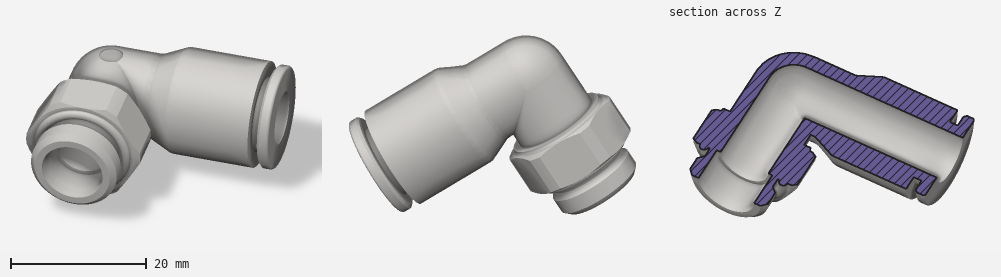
import cadquery as cq
import math


elbow_radius = 6.25
bore_radius = 4.0

sleeve_radius = 8.0
cone_start = 7.0
cone_end = 10.75
cone_blend_radius = 1.47
sleeve_end = 23.2
tube_arm_end = 26.2
collar_neck_radius = 5.63
collar_radius = 7.8
collar_width = 1.75
collar_edge = 0.4

shoulder_start = 8.2
shoulder_radius = 7.37
shoulder_fillet = 0.45
nut_start = 8.8
nut_end = 15.5
nut_corner_radius = 8.75
nut_across_flats = 2 * sleeve_radius
nut_turn = 30.0
nut_chamfer_length = 0.45
nut_chamfer_angle = 30.0
seal_outer_radius = shoulder_radius
seal_thickness = 1.4
seal_end = 16.18
thread_neck_radius = 5.73
thread_neck_end = 16.95
thread_radius = 6.57
thread_end = 20.9
thread_chamfer = thread_radius - thread_neck_radius
thread_bore_radius = 4.65
thread_bore_depth = 5.63

recess_radius = 1.78
recess_depth = 0.45


def turned_about_x(outline):
    """Solid of revolution from (x, radius) points; the axis closes the outline."""
    first_x = outline[0][0]
    last_x = outline[-1][0]
    points = [(first_x, 0)] + outline + [(last_x, 0)]
    return cq.Workplane("XY").polyline(points).close().revolve(360, (0, 0), (1, 0))


def turned_about_y(outline):
    """Solid of revolution along -Y from (distance from the elbow centre, radius) points."""
    return turned_about_x(outline).rotate((0, 0, 0), (0, 0, 1), -90)


def make_tube_arm():
    sleeve = turned_about_x([
        (0, elbow_radius),
        (cone_start, elbow_radius),
        (cone_end, sleeve_radius),
        (sleeve_end, sleeve_radius),
    ])
    cone_rims = sleeve.faces("%CONE").edges("%CIRCLE").vals()
    sleeve = sleeve.newObject(cone_rims).fillet(cone_blend_radius)
    collar_start = tube_arm_end - collar_width
    collar_neck = turned_about_x([
        (sleeve_end, collar_neck_radius),
        (collar_start, collar_neck_radius),
    ])
    collar = turned_about_x([
        (collar_start, collar_radius),
        (tube_arm_end, collar_radius),
    ])
    collar = collar.faces("<X").edges().chamfer(collar_edge)
    collar = collar.faces(">X").edges().fillet(collar_edge)
    return sleeve.union(collar_neck).union(collar)


def make_nut():
    chamfer_width = nut_chamfer_length / math.tan(math.radians(nut_chamfer_angle))
    face_radius = nut_corner_radius - chamfer_width
    blank = turned_about_y([
        (nut_start, face_radius),
        (nut_start + nut_chamfer_length, nut_corner_radius),
        (nut_end - nut_chamfer_length, nut_corner_radius),
        (nut_end, face_radius),
    ])
    hexagon = (
        cq.Workplane("XY")
        .polygon(6, nut_across_flats, circumscribed=True)
        .extrude(thread_end)
        .rotate((0, 0, 0), (0, 0, 1), nut_turn)
        .rotate((0, 0, 0), (1, 0, 0), 90)
    )
    return blank.intersect(hexagon)


def make_shoulder():
    """Collar between elbow and nut, widening to the nut face with a concave quarter arc."""
    arc_drop = shoulder_fillet * (1 - math.sqrt(0.5))
    arc_middle = (shoulder_radius + arc_drop, arc_drop - nut_start)
    return (
        cq.Workplane("XY")
        .moveTo(0, -shoulder_start)
        .lineTo(shoulder_radius, -shoulder_start)
        .lineTo(shoulder_radius, shoulder_fillet - nut_start)
        .threePointArc(arc_middle, (shoulder_radius + shoulder_fillet, -nut_start))
        .lineTo(0, -nut_start)
        .close()
        .revolve(360, (0, 0), (0, 1))
    )


def make_seal_ring():
    section_radius = seal_thickness / 2
    ring_radius = seal_outer_radius - section_radius
    ring_position = section_radius - seal_end
    return (
        cq.Workplane("XY")
        .center(ring_radius, ring_position)
        .circle(section_radius)
        .revolve(360, (-ring_radius, 0), (-ring_radius, 1))
    )


def make_threaded_end():
    return turned_about_y([
        (shoulder_start, thread_neck_radius),
        (thread_neck_end, thread_neck_radius),
        (thread_neck_end + thread_chamfer, thread_radius),
        (thread_end - thread_chamfer, thread_radius),
        (thread_end, thread_neck_radius),
    ])


def make_passage():
    tube_bore = turned_about_x([(0, bore_radius), (tube_arm_end, bore_radius)])
    thread_side_bore = turned_about_y([(0, bore_radius), (thread_end, bore_radius)])
    thread_bore = turned_about_y([
        (thread_end - thread_bore_depth, thread_bore_radius),
        (thread_end, thread_bore_radius),
    ])
    corner = cq.Workplane("XY").sphere(bore_radius)
    return tube_bore.union(thread_side_bore).union(thread_bore).union(corner)


def make_recess():
    return (
        cq.Workplane("XY")
        .workplane(offset=elbow_radius - recess_depth)
        .circle(recess_radius)
        .extrude(2 * recess_depth)
    )


elbow_corner = cq.Workplane("XY").sphere(elbow_radius)
elbow_leg = turned_about_y([(0, elbow_radius), (shoulder_start, elbow_radius)])

result = (
    make_tube_arm()
    .union(elbow_corner)
    .union(elbow_leg)
    .union(make_shoulder())
    .union(make_nut())
    .union(make_seal_ring())
    .union(make_threaded_end())
    .cut(make_passage())
    .cut(make_recess())
)